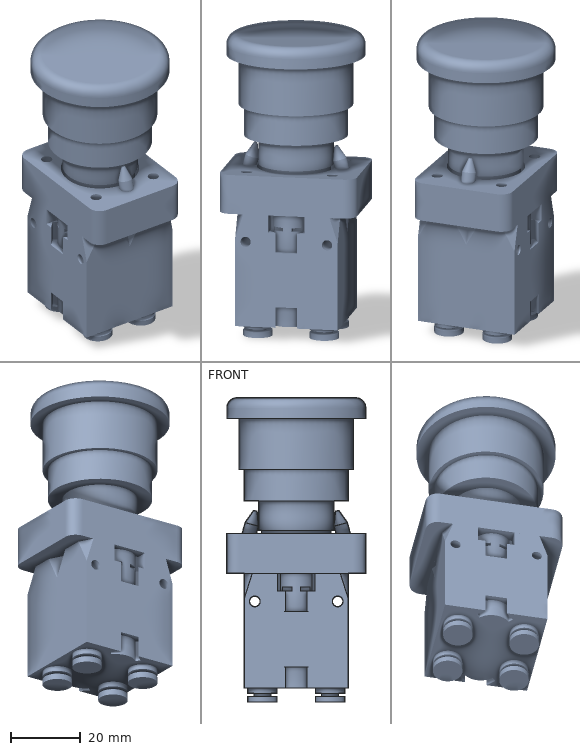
import cadquery as cq
import math

TOTAL_HEIGHT = 87.5
VALVE_BOTTOM = 4.0
PLATE_BOTTOM = 37.0
PLATE_TOP = 48.5
NECK_BOTTOM = 49.35
COLLAR_BOTTOM = 57.8
SKIRT_BOTTOM = 66.85
CAP_BOTTOM = 81.5

CAP_DIAMETER = 40.0
CAP_EDGE_RADIUS = 3.0
SKIRT_DIAMETER = 33.0
COLLAR_DIAMETER = 30.0
NECK_DIAMETER = 21.7
SHAFT_DIAMETER = 20.0

PLATE_LENGTH = 40.0
PLATE_WIDTH = 30.0
PLATE_CORNER_RADIUS = 3.5
PLATE_BORE_DIAMETER = 22.5
SCREW_HOLE_DIAMETER = 3.2
SCREW_HOLE_X = 12.5
SCREW_HOLE_Y = 10.0

PIN_DIAMETER = 4.0
PIN_TIP_DIAMETER = 1.05
PIN_CONE_LENGTH = 4.0
PIN_SHANK_ABOVE_PLATE = 2.7
PIN_TILT = 15.0
PIN_X = 13.5

VALVE_LENGTH = 30.0
VALVE_WIDTH = PLATE_WIDTH / 2
VALVE_AXIS_Y = VALVE_WIDTH / 2
CORNER_CUT_X = 2.4
CORNER_CUT_Y = 4.2
CORNER_CUT_Z = 7.4
CROSS_HOLE_DIAMETER = 3.0
CROSS_HOLE_X = 11.9
CROSS_HOLE_Z = 29.0

CORE_DIAMETER = 12.1
POCKET_DEPTH = 3.5
WIDE_POCKET_WIDTH = 10.7
WIDE_POCKET_BOTTOM = 32.0
UPPER_GROOVE_BOTTOM = 26.1
LOWER_GROOVE_TOP = 10.1
NOTCH_WIDTH = 2.7
NOTCH_HEIGHT = 1.1
NOTCH_X = 2.6

FITTING_DIAMETER = 8.5
FITTING_GROOVE_DIAMETER = 5.0
FITTING_X = 9.7
FITTING_GROOVE_BOTTOM = 1.7
FITTING_GROOVE_TOP = 2.5


def cylinder(diameter, bottom, top, x=0, y=0):
    """Upright cylinder between two heights."""
    return cq.Workplane("XY", origin=(x, y, bottom)).circle(diameter / 2).extrude(top - bottom)


def block(x_size, y_min, y_max, z_min, z_max, x=0):
    """Box centred on x, given by its limits along Y and Z."""
    return cq.Workplane("XY").box(x_size, y_max - y_min, z_max - z_min).translate(
        (x, (y_min + y_max) / 2, (z_min + z_max) / 2)
    )


def make_button():
    """Round-edged cap on a stepped stem that stands on the valves."""
    cap = cylinder(CAP_DIAMETER, CAP_BOTTOM, TOTAL_HEIGHT).faces(">Z").edges().fillet(CAP_EDGE_RADIUS)
    skirt = cylinder(SKIRT_DIAMETER, SKIRT_BOTTOM, CAP_BOTTOM)
    collar = cylinder(COLLAR_DIAMETER, COLLAR_BOTTOM, SKIRT_BOTTOM)
    neck = cylinder(NECK_DIAMETER, NECK_BOTTOM, COLLAR_BOTTOM)
    shaft = cylinder(SHAFT_DIAMETER, PLATE_BOTTOM, NECK_BOTTOM)
    return cap.union(skirt).union(collar).union(neck).union(shaft)


def make_pin(side):
    """Pointed pin leaning towards the stem, cut flush with the plate underside; side is -1 or 1."""
    tail_length = 2 * (PLATE_TOP - PLATE_BOTTOM)
    tip_height = PIN_SHANK_ABOVE_PLATE + PIN_CONE_LENGTH
    pin = (
        cq.Workplane("XZ")
        .moveTo(0, -tail_length)
        .lineTo(PIN_DIAMETER / 2, -tail_length)
        .lineTo(PIN_DIAMETER / 2, PIN_SHANK_ABOVE_PLATE)
        .lineTo(PIN_TIP_DIAMETER / 2, tip_height)
        .lineTo(0, tip_height)
        .close()
        .revolve(360, (0, 0, 0), (0, 1, 0))
        .rotate((0, 0, 0), (0, 1, 0), -side * PIN_TILT)
        .translate((side * PIN_X, 0, PLATE_TOP))
    )
    above_underside = block(2 * PLATE_LENGTH, -PIN_DIAMETER, PIN_DIAMETER, PLATE_BOTTOM, TOTAL_HEIGHT)
    return pin.intersect(above_underside)


def make_plate(pins):
    """Rounded plate with a stem bore, four screw holes and a matching hole for each pin."""
    plate = block(PLATE_LENGTH, -PLATE_WIDTH / 2, PLATE_WIDTH / 2, PLATE_BOTTOM, PLATE_TOP)
    plate = plate.edges("|Z").fillet(PLATE_CORNER_RADIUS)
    plate = plate.cut(cylinder(PLATE_BORE_DIAMETER, PLATE_BOTTOM, PLATE_TOP))
    for x in (-SCREW_HOLE_X, SCREW_HOLE_X):
        for y in (-SCREW_HOLE_Y, SCREW_HOLE_Y):
            plate = plate.cut(cylinder(SCREW_HOLE_DIAMETER, PLATE_BOTTOM, PLATE_TOP, x, y))
    for pin in pins:
        plate = plate.cut(pin)
    return plate


def corner_cut(x_side, y_side):
    """Tetrahedron that bevels one top corner of a valve block centred on the Z axis."""
    x = x_side * VALVE_LENGTH / 2
    y = y_side * VALVE_WIDTH / 2
    x_cut = x - x_side * CORNER_CUT_X
    y_cut = y - y_side * CORNER_CUT_Y
    corner = cq.Vector(x, y, PLATE_BOTTOM)
    on_x_edge = cq.Vector(x_cut, y, PLATE_BOTTOM)
    on_y_edge = cq.Vector(x, y_cut, PLATE_BOTTOM)
    below = cq.Vector(x, y, PLATE_BOTTOM - CORNER_CUT_Z)
    triangles = [
        (corner, on_x_edge, on_y_edge),
        (corner, on_x_edge, below),
        (corner, on_y_edge, below),
        (on_x_edge, on_y_edge, below),
    ]
    faces = [cq.Face.makeFromWires(cq.Wire.makePolygon(points, close=True)) for points in triangles]
    return cq.Workplane(cq.Solid.makeSolid(cq.Shell.makeShell(faces)))


def octagon_groove(bottom, top):
    """Quarter of an octagonal well around the core, one side of it open through the -Y face."""
    apothem = VALVE_WIDTH / 2
    half_side = apothem * math.tan(math.radians(22.5))
    diagonal = apothem * math.sin(math.radians(45))
    outline = [
        (0, 0),
        (-diagonal, -diagonal),
        (-half_side, -apothem),
        (half_side, -apothem),
        (diagonal, -diagonal),
    ]
    return cq.Workplane("XY", origin=(0, 0, bottom)).polyline(outline).close().extrude(top - bottom)


def face_pockets():
    """Pocket in the -Y face over an upper and a lower groove, less a core with two notches."""
    outer = -VALVE_WIDTH / 2
    inner = outer + POCKET_DEPTH
    pockets = block(WIDE_POCKET_WIDTH, outer, inner, WIDE_POCKET_BOTTOM, PLATE_BOTTOM)
    pockets = pockets.union(octagon_groove(UPPER_GROOVE_BOTTOM, WIDE_POCKET_BOTTOM))
    pockets = pockets.union(octagon_groove(VALVE_BOTTOM, LOWER_GROOVE_TOP))
    pockets = pockets.cut(cylinder(CORE_DIAMETER, VALVE_BOTTOM, PLATE_BOTTOM))
    notch_top = WIDE_POCKET_BOTTOM + NOTCH_HEIGHT
    for x in (-NOTCH_X, NOTCH_X):
        pockets = pockets.union(block(NOTCH_WIDTH, outer, inner, WIDE_POCKET_BOTTOM, notch_top, x))
    return pockets


def make_fitting(x):
    """Round fitting with one groove, reaching up to the valve underside."""
    lower_ring = cylinder(FITTING_DIAMETER, 0, FITTING_GROOVE_BOTTOM, x)
    groove_core = cylinder(FITTING_GROOVE_DIAMETER, FITTING_GROOVE_BOTTOM, FITTING_GROOVE_TOP, x)
    upper_ring = cylinder(FITTING_DIAMETER, FITTING_GROOVE_TOP, VALVE_BOTTOM, x)
    return lower_ring.union(groove_core).union(upper_ring)


def make_valve():
    """Valve block with two fittings, centred on the Z axis with its pockets facing -Y."""
    valve = block(VALVE_LENGTH, -VALVE_WIDTH / 2, VALVE_WIDTH / 2, VALVE_BOTTOM, PLATE_BOTTOM)
    for x_side in (-1, 1):
        for y_side in (-1, 1):
            valve = valve.cut(corner_cut(x_side, y_side))
    cross_holes = (
        cq.Workplane("XZ", origin=(0, 0, CROSS_HOLE_Z))
        .pushPoints([(-CROSS_HOLE_X, 0), (CROSS_HOLE_X, 0)])
        .circle(CROSS_HOLE_DIAMETER / 2)
        .extrude(VALVE_WIDTH / 2, both=True)
    )
    valve = valve.cut(cross_holes).cut(face_pockets())
    for x in (-FITTING_X, FITTING_X):
        valve = valve.union(make_fitting(x))
    return valve


button = make_button()
pins = [make_pin(side) for side in (-1, 1)]
plate = make_plate(pins)

valves = []
for turn in (0, 180):
    valve = make_valve().translate((0, -VALVE_AXIS_Y, 0)).rotate((0, 0, 0), (0, 0, 1), turn)
    valves.append(valve)

result = cq.Compound.makeCompound(
    [button.val(), plate.val()] + [pin.val() for pin in pins] + [valve.val() for valve in valves]
)